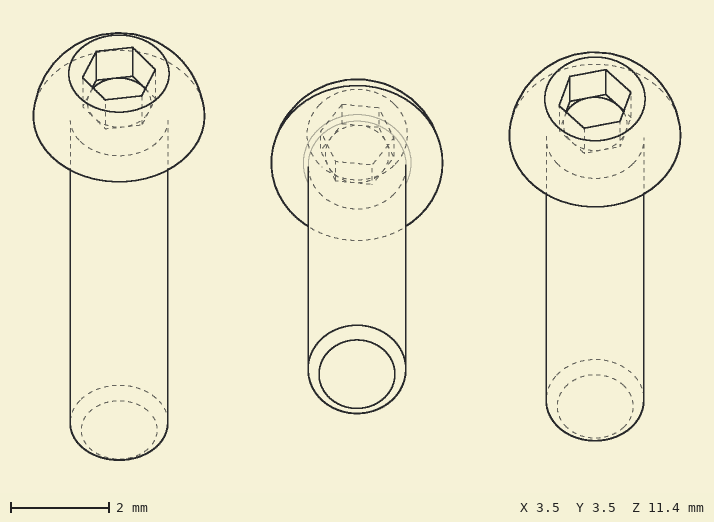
import cadquery as cq
import math

shank_diameter = 2.0
shank_length = 10.0
tip_diameter = 1.55
tip_chamfer = (shank_diameter - tip_diameter) / 2
neck_fillet = 0.1

head_diameter = 3.5
head_height = 1.35
head_flat_diameter = 2.05
dome_radius = 1.85

socket_across_flats = 1.3
socket_depth = 0.92
socket_cone_angle = 120.0


def dome_midpoint():
    """Middle of the dome arc, as (radius, height), bulging outward from the chord."""
    rim_radius = head_diameter / 2
    flat_radius = head_flat_diameter / 2
    run = rim_radius - flat_radius
    chord = math.hypot(run, head_height)
    half_chord = chord / 2
    bulge = dome_radius - math.sqrt(dome_radius**2 - half_chord**2)
    middle_radius = (rim_radius + flat_radius) / 2 + bulge * head_height / chord
    middle_height = head_height / 2 + bulge * run / chord
    return (middle_radius, middle_height)


def make_screw_body():
    """Head and shank revolved from one half profile."""
    shank_radius = shank_diameter / 2
    fillet_offset = neck_fillet * (1 - math.sqrt(0.5))
    fillet_midpoint = (shank_radius + fillet_offset, -fillet_offset)
    profile = (
        cq.Workplane("XZ")
        .moveTo(0, head_height)
        .lineTo(head_flat_diameter / 2, head_height)
        .threePointArc(dome_midpoint(), (head_diameter / 2, 0))
        .lineTo(shank_radius + neck_fillet, 0)
        .threePointArc(fillet_midpoint, (shank_radius, -neck_fillet))
        .lineTo(shank_radius, tip_chamfer - shank_length)
        .lineTo(tip_diameter / 2, -shank_length)
        .lineTo(0, -shank_length)
        .close()
    )
    return profile.revolve(360, (0, 0, 0), (0, 1, 0))


def make_socket():
    """Hexagonal socket with corners on the Y axis and a conical drill point below it."""
    floor_height = head_height - socket_depth
    across_corners = socket_across_flats / math.cos(math.pi / 6)
    hexagon = (
        cq.Workplane("XY")
        .workplane(offset=floor_height)
        .transformed(rotate=(0, 0, 90))
        .polygon(6, across_corners)
        .extrude(socket_depth)
    )
    cone_radius = socket_across_flats / 2
    cone_depth = cone_radius / math.tan(math.radians(socket_cone_angle / 2))
    drill_point = (
        cq.Workplane("XZ")
        .moveTo(0, floor_height)
        .lineTo(cone_radius, floor_height)
        .lineTo(0, floor_height - cone_depth)
        .close()
        .revolve(360, (0, 0, 0), (0, 1, 0))
    )
    return hexagon.union(drill_point)


result = make_screw_body().cut(make_socket())